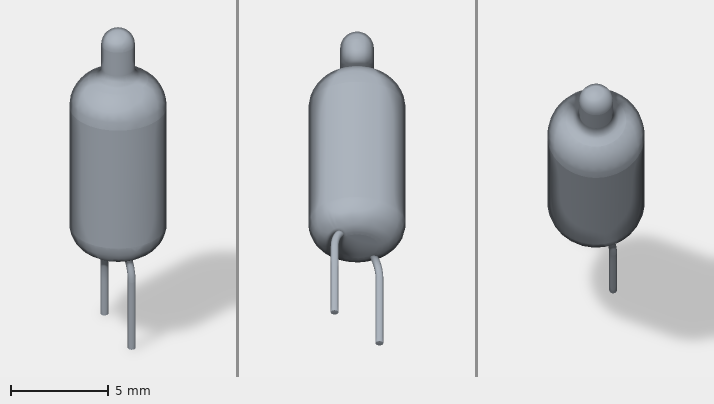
import cadquery as cq
import math

bulb_radius = 5.0 / 2
bulb_height = 13.0
base_round_radius = 1.4
shoulder_round_radius = 1.8
shoulder_start_z = 8.45
shoulder_slope = math.radians(28)

tip_radius = 1.73 / 2
neck_fillet_radius = 0.5

lead_radius = 0.4 / 2
lead_offset = 1.85
lead_bottom_z = -5.0
bend_start_z = -1.0
bend_radius = 1.5
bend_angle = math.radians(60)


def arc_point(center, radius, angle):
    """Point on an arc, at an angle measured from the horizontal direction."""
    return (center[0] + radius * math.cos(angle), center[1] + radius * math.sin(angle))


def make_bulb():
    """Solid glass bulb with a rounded base, a domed shoulder and a round-ended tip."""
    base_center = (bulb_radius - base_round_radius, base_round_radius)
    base_middle = arc_point(base_center, base_round_radius, -math.pi / 4)

    shoulder_center = (bulb_radius - shoulder_round_radius, shoulder_start_z)
    shoulder_sweep = math.pi / 2 - shoulder_slope
    shoulder_middle = arc_point(shoulder_center, shoulder_round_radius, shoulder_sweep / 2)
    shoulder_end = arc_point(shoulder_center, shoulder_round_radius, shoulder_sweep)

    fillet_start_x = tip_radius + neck_fillet_radius * (1 - math.cos(shoulder_sweep))
    fillet_start_z = shoulder_end[1] + (shoulder_end[0] - fillet_start_x) * math.tan(shoulder_slope)
    fillet_end_z = fillet_start_z + neck_fillet_radius * math.sin(shoulder_sweep)
    fillet_center = (tip_radius + neck_fillet_radius, fillet_end_z)
    fillet_middle = arc_point(fillet_center, neck_fillet_radius, math.pi + shoulder_sweep / 2)

    tip_center = (0, bulb_height - tip_radius)
    tip_middle = arc_point(tip_center, tip_radius, math.pi / 4)

    profile = (
        cq.Workplane("XZ")
        .lineTo(base_center[0], 0)
        .threePointArc(base_middle, (bulb_radius, base_round_radius))
        .lineTo(bulb_radius, shoulder_start_z)
        .threePointArc(shoulder_middle, shoulder_end)
        .lineTo(fillet_start_x, fillet_start_z)
        .threePointArc(fillet_middle, (tip_radius, fillet_end_z))
        .lineTo(tip_radius, tip_center[1])
        .threePointArc(tip_middle, (0, bulb_height))
        .close()
    )
    return profile.revolve(360, (0, 0, 0), (0, 1, 0))


def make_lead(side):
    """Round wire on one side (+1 or -1 along X), straight below and bent toward the bulb axis."""
    bend_center = (lead_offset - bend_radius, bend_start_z)
    bend_middle = arc_point(bend_center, bend_radius, bend_angle / 2)
    bend_end = arc_point(bend_center, bend_radius, bend_angle)
    path = (
        cq.Workplane("XZ")
        .moveTo(side * lead_offset, lead_bottom_z)
        .lineTo(side * lead_offset, bend_start_z)
        .threePointArc((side * bend_middle[0], bend_middle[1]), (side * bend_end[0], bend_end[1]))
    )
    section = cq.Workplane("XY", origin=(side * lead_offset, 0, lead_bottom_z)).circle(lead_radius)
    return section.sweep(path)


leads = [make_lead(side) for side in (-1, 1)]

bulb = make_bulb()
for lead in leads:
    bulb = bulb.cut(lead)

result = cq.Compound.makeCompound([bulb.solids().val(), *[lead.val() for lead in leads]])